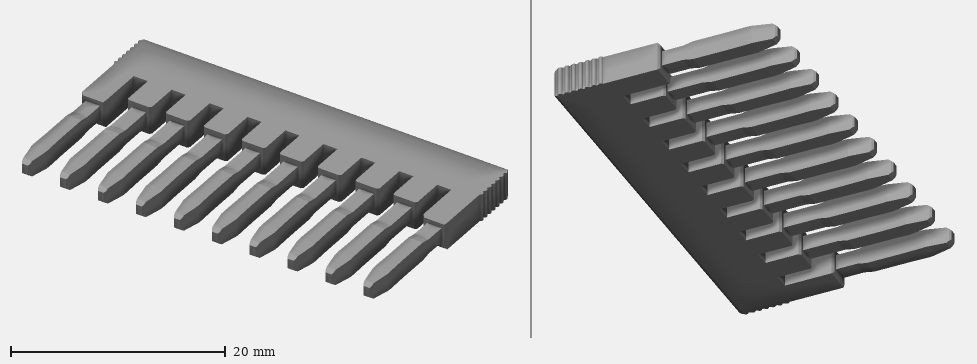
import cadquery as cq

OVERALL_WIDTH = 40.81
OVERALL_DEPTH = 22.7
THICKNESS = 3.0
PIN_COUNT = 10
PIN_PITCH = 4.2

FINGER_WIDTH = 2.65
SPINE_DEPTH = 6.0
INNER_FINGER_DEPTH = 9.6
END_FINGER_DEPTH = 11.0
FINGER_CHAMFER = 0.2
BACK_FILLET = 0.5

RIDGE_COUNT = 7
RIDGE_PITCH = 0.7
RIDGE_WIDTH = 0.5
FIRST_RIDGE_DEPTH = BACK_FILLET + RIDGE_WIDTH / 2

NECK_THICKNESS = 1.6
BLADE_THICKNESS = 2.0
TIP_THICKNESS = 1.72
NECK_END_DEPTH = 13.2
BLADE_START_DEPTH = 14.2
THICKNESS_TAPER_DEPTH = 19.75
TIP_CHAMFER_Z = 0.33
TIP_CHAMFER_Z_LENGTH = 0.45

PIN_WIDTH = 1.6
SWELL_WIDTH = 1.68
TIP_WIDTH = 0.9
SWELL_START_DEPTH = 17.65
SWELL_FULL_DEPTH = 19.75
WIDTH_TAPER_DEPTH = 20.27
TIP_CHAMFER_X = 0.12
TIP_CHAMFER_X_LENGTH = 0.2

END_PIN_X = PIN_PITCH * (PIN_COUNT - 1) / 2
BODY_WIDTH = 2 * END_PIN_X + FINGER_WIDTH
RIDGE_HEIGHT = (OVERALL_WIDTH - BODY_WIDTH) / 2
PIN_ROOT_DEPTH = SPINE_DEPTH


def block(width, back_depth, front_depth, center_x):
    """Full-thickness block between two depths, centred on center_x."""
    center_y = -(back_depth + front_depth) / 2
    box = cq.Workplane("XY").box(width, front_depth - back_depth, THICKNESS)
    return box.translate((center_x, center_y, 0))


def make_spine():
    """Spine block with all four back edges rounded."""
    spine = block(BODY_WIDTH, 0, SPINE_DEPTH, 0)
    return spine.faces(">Y").edges().fillet(BACK_FILLET)


def make_inner_finger(center_x):
    """Finger with only its two vertical front edges chamfered."""
    finger = block(FINGER_WIDTH, BACK_FILLET, INNER_FINGER_DEPTH, center_x)
    return finger.faces("<Y").edges("|Z").chamfer(FINGER_CHAMFER)


def make_end_finger(center_x):
    """Longer finger with all four front edges chamfered."""
    finger = block(FINGER_WIDTH, BACK_FILLET, END_FINGER_DEPTH, center_x)
    return finger.faces("<Y").edges().chamfer(FINGER_CHAMFER)


def make_ridge(side, depth):
    """Arc-topped ridge standing on the spine end at the given side (-1 or +1)."""
    wall_x = side * BODY_WIDTH / 2
    crest_x = wall_x + side * RIDGE_HEIGHT
    root_x = wall_x - side * RIDGE_HEIGHT
    back_y = -depth + RIDGE_WIDTH / 2
    front_y = -depth - RIDGE_WIDTH / 2
    profile = (
        cq.Workplane("XY")
        .moveTo(root_x, back_y)
        .lineTo(wall_x, back_y)
        .threePointArc((crest_x, -depth), (wall_x, front_y))
        .lineTo(root_x, front_y)
        .close()
    )
    return profile.extrude(THICKNESS / 2, both=True)


def mirrored_outline(plane, stations):
    """Closed symmetric outline through (depth, full size) stations along the pin."""
    right_side = [(size / 2, -depth) for depth, size in stations]
    left_side = [(-size / 2, -depth) for depth, size in reversed(stations)]
    return cq.Workplane(plane).polyline(right_side + left_side).close()


def make_pin():
    """Pin at x = 0: the common volume of its width outline and its thickness outline."""
    width_outline = mirrored_outline("XY", [
        (PIN_ROOT_DEPTH, PIN_WIDTH),
        (SWELL_START_DEPTH, PIN_WIDTH),
        (SWELL_FULL_DEPTH, SWELL_WIDTH),
        (WIDTH_TAPER_DEPTH, SWELL_WIDTH),
        (OVERALL_DEPTH - TIP_CHAMFER_X_LENGTH, TIP_WIDTH),
        (OVERALL_DEPTH, TIP_WIDTH - 2 * TIP_CHAMFER_X),
    ])
    side_plane = cq.Plane(origin=(0, 0, 0), xDir=(0, 0, 1), normal=(-1, 0, 0))
    thickness_outline = mirrored_outline(side_plane, [
        (PIN_ROOT_DEPTH, NECK_THICKNESS),
        (NECK_END_DEPTH, NECK_THICKNESS),
        (BLADE_START_DEPTH, BLADE_THICKNESS),
        (THICKNESS_TAPER_DEPTH, BLADE_THICKNESS),
        (OVERALL_DEPTH - TIP_CHAMFER_Z_LENGTH, TIP_THICKNESS),
        (OVERALL_DEPTH, TIP_THICKNESS - 2 * TIP_CHAMFER_Z),
    ])
    plan = width_outline.extrude(BLADE_THICKNESS, both=True)
    side = thickness_outline.extrude(SWELL_WIDTH, both=True)
    return plan.intersect(side)


def make_part():
    """Housing and pins joined into one solid."""
    part = make_spine()
    for side in (-1, 1):
        for index in range(RIDGE_COUNT):
            depth = FIRST_RIDGE_DEPTH + index * RIDGE_PITCH
            part = part.union(make_ridge(side, depth))
    pin = make_pin()
    for index in range(PIN_COUNT):
        center_x = -END_PIN_X + index * PIN_PITCH
        is_end = index in (0, PIN_COUNT - 1)
        finger = make_end_finger(center_x) if is_end else make_inner_finger(center_x)
        part = part.union(finger).union(pin.translate((center_x, 0, 0)))
    return part


result = make_part()